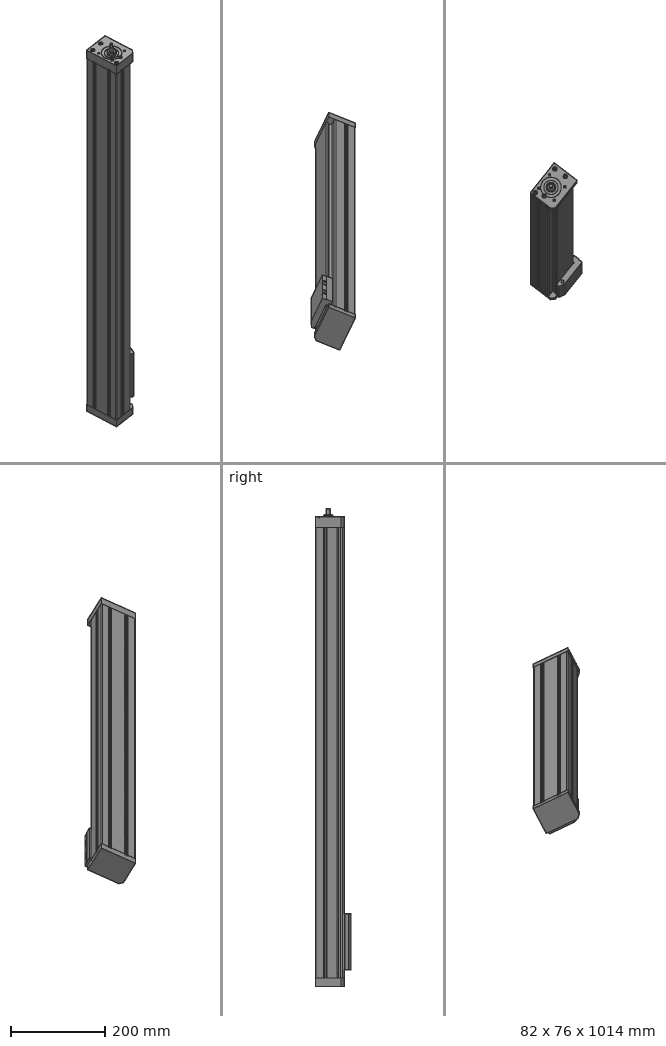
import cadquery as cq


total_length = 1014.0
width = 82.0
total_depth = 76.0
half_width = width / 2

cap_depth = 62.0
lower_cap_height = 18.0
upper_cap_height = 23.0
upper_cap_top = 997.0
cap_chamfer = 7.0

shaft_x = 5.0
shaft_y = 27.0
shaft_diameter = 9.0
shaft_tip_chamfer = 1.0
collar_diameter = 20.0
collar_top = 1001.0
collar_chamfer = 2.0

seat_diameter = 44.0
seat_depth = 1.0
bearing_bore_diameter = 30.0
bearing_bore_depth = 2.0
screw_depth = 10.0
mount_hole_diameter = 4.9
mount_counterbore_diameter = 9.0
mount_counterbore_depth = 3.0
mount_holes = [(-32.0, 37.0), (-31.0, 9.0), (28.0, 27.0), (34.0, 8.0)]
flange_hole_diameter = 5.0
flange_holes = [(-14.0, 50.0), (22.0, 50.0), (-14.0, 8.0), (22.0, 8.0)]

front_bevel_x = 3.0
front_bevel_y = 1.0
shoulder_y = 46.0
shoulder_bevel = 3.0
groove_floor_x = 25.0
neck_x = 27.0
groove_y = 54.0
groove_end_y = 58.0
slot_mouth_width = 7.0
slot_mouth_depth = 2.0
slot_width = 3.0
slot_depth = 6.0
front_slot_spacing = 40.0
side_slot_y = 21.0

carriage_length = 120.0
carriage_bottom = 35.0
carriage_right = 31.0
leg_end_y = 54.0
leg_thickness = 12.0
table_step_y = 67.0
table_step = 1.0
table_bevel_x = 12.0
table_bevel_y = 6.0
profile_clearance = 1.0
side_hole_y = 71.0
side_hole_depth = 5.0
outer_side_hole_diameter = 7.0
inner_side_hole_diameter = 4.9
outer_side_hole_offset = 30.0
inner_side_hole_offset = 15.0
end_hole_x = 18.0
end_hole_y = 69.0
end_hole_diameter = 6.0
end_hole_depth = 5.0

upper_cap_bottom = upper_cap_top - upper_cap_height
profile_length = upper_cap_bottom - lower_cap_height
bearing_floor = upper_cap_top - bearing_bore_depth


def cylinder_z(diameter, x, y, bottom, top):
    return cq.Workplane("XY", origin=(x, y, bottom)).circle(diameter / 2).extrude(top - bottom)


def make_cap(bottom, height):
    outline = [
        (-half_width, 0),
        (half_width, 0),
        (half_width, cap_depth - cap_chamfer),
        (half_width - cap_chamfer, cap_depth),
        (-half_width, cap_depth),
    ]
    return cq.Workplane("XY", origin=(0, 0, bottom)).polyline(outline).close().extrude(height)


def make_upper_cap():
    cap = make_cap(upper_cap_bottom, upper_cap_height)
    seat_floor = upper_cap_top - seat_depth
    cap = cap.cut(cylinder_z(seat_diameter, shaft_x, shaft_y, seat_floor, upper_cap_top))
    cap = cap.cut(cylinder_z(bearing_bore_diameter, shaft_x, shaft_y, bearing_floor, upper_cap_top))
    cap = cap.cut(cylinder_z(shaft_diameter, shaft_x, shaft_y, upper_cap_bottom, upper_cap_top))
    hole_floor = upper_cap_top - screw_depth
    counterbore_floor = upper_cap_top - mount_counterbore_depth
    for x, y in mount_holes:
        cap = cap.cut(cylinder_z(mount_hole_diameter, x, y, hole_floor, upper_cap_top))
        cap = cap.cut(cylinder_z(mount_counterbore_diameter, x, y, counterbore_floor, upper_cap_top))
    for x, y in flange_holes:
        cap = cap.cut(cylinder_z(flange_hole_diameter, x, y, hole_floor, upper_cap_top))
    return cap


def make_profile():
    right_side = [
        (half_width - front_bevel_x, 0),
        (half_width, front_bevel_y),
        (half_width, shoulder_y),
        (half_width - shoulder_bevel, shoulder_y + shoulder_bevel),
        (neck_x, shoulder_y + shoulder_bevel),
        (groove_floor_x, groove_y),
        (neck_x, groove_end_y),
        (neck_x, cap_depth),
    ]
    left_side = [(-x, y) for x, y in reversed(right_side)]
    base = cq.Workplane("XY", origin=(0, 0, lower_cap_height))
    profile = base.polyline(right_side + left_side).close().extrude(profile_length)
    for slot_size, depth in ((slot_mouth_width, slot_mouth_depth), (slot_width, slot_depth)):
        for side in (-1, 1):
            front_slot = base.center(side * front_slot_spacing / 2, depth / 2)
            profile = profile.cut(front_slot.rect(slot_size, depth).extrude(profile_length))
            side_slot = base.center(side * (half_width - depth / 2), side_slot_y)
            profile = profile.cut(side_slot.rect(depth, slot_size).extrude(profile_length))
    return profile


def make_carriage():
    table_underside = cap_depth + profile_clearance
    outline = [
        (-half_width, leg_end_y),
        (-half_width + leg_thickness, leg_end_y),
        (-half_width + leg_thickness, table_underside),
        (carriage_right, table_underside),
        (carriage_right, total_depth - table_bevel_y),
        (carriage_right - table_bevel_x, total_depth),
        (-half_width + table_step, total_depth),
        (-half_width + table_step, table_step_y),
        (-half_width, table_step_y),
    ]
    base = cq.Workplane("XY", origin=(0, 0, carriage_bottom))
    carriage = base.polyline(outline).close().extrude(carriage_length)

    middle = carriage_bottom + carriage_length / 2
    for diameter, offset in (
        (outer_side_hole_diameter, outer_side_hole_offset),
        (inner_side_hole_diameter, inner_side_hole_offset),
    ):
        for side in (-1, 1):
            start = cq.Workplane("YZ", origin=(-half_width, side_hole_y, middle + side * offset))
            carriage = carriage.cut(start.circle(diameter / 2).extrude(table_step + side_hole_depth))

    top = carriage_bottom + carriage_length
    return carriage.cut(cylinder_z(end_hole_diameter, end_hole_x, end_hole_y, top - end_hole_depth, top))


def make_shaft():
    shaft = cylinder_z(shaft_diameter, shaft_x, shaft_y, upper_cap_bottom, total_length)
    shaft = shaft.faces(">Z").chamfer(shaft_tip_chamfer)
    collar = cylinder_z(collar_diameter, shaft_x, shaft_y, bearing_floor, collar_top)
    return shaft.union(collar.faces(">Z").chamfer(collar_chamfer))


lower_cap = make_cap(0, lower_cap_height)
upper_cap = make_upper_cap()
profile = make_profile()
carriage = make_carriage()
shaft = make_shaft()

result = cq.Compound.makeCompound(
    [lower_cap.val(), upper_cap.val(), profile.val(), carriage.val(), shaft.val()]
)